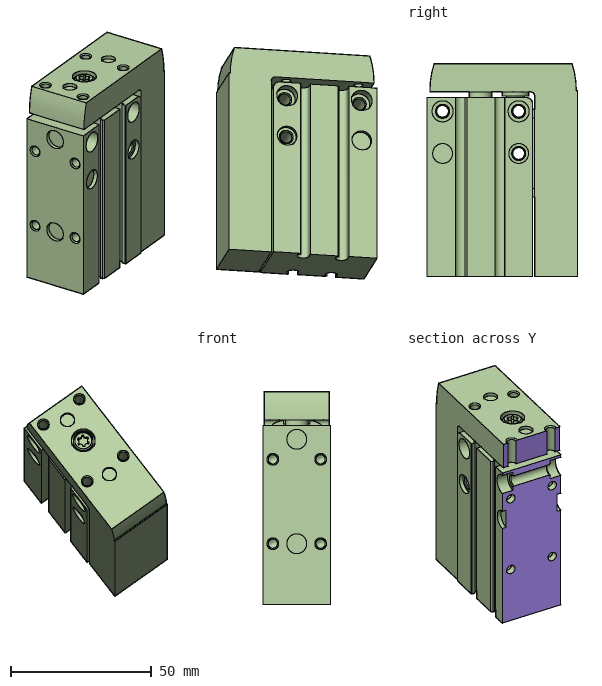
import cadquery as cq
import math

HEIGHT = 75.6
DEPTH = 53.5
HOUSING_WIDTH = 24.0
HOUSING_HEIGHT = 63.6
HOUSING_DEPTH = 37.6
SLIDE_WIDTH = 23.1
GAP = 0.7
SIDE = HOUSING_WIDTH / 2
PLATE_FRONT = HOUSING_DEPTH + GAP

HOUSING_CORNER_RADIUS = 2.35
RIB_INSET = 0.2
GROOVE_DIAMETER = 4.15
GROOVE_SPACING = 13.9
FRONT_GROOVE_Y = 12.3
GROOVE_AXIS_INSET = 2.9
LIP_OFFSET = 1.3
LIP_THICKNESS = 1.5
FRONT_LIP_CHAMFER = 0.8
REAR_LIP_CHAMFER = 0.2

SIDE_HOLE_FRONT_Y = 5.6
SIDE_HOLE_BACK_Y = 32.6
UPPER_HOLE_Z = 58.7
LOWER_HOLE_Z = 43.7
THROUGH_DIAMETER = 4.15
THROUGH_MOUTH_DIAMETER = 5.0
COUNTERBORE_DIAMETER = 7.5
COUNTERBORE_DEPTH = 4.3
SLEEVE_DIAMETER = 7.0
SLEEVE_DEPTH = 1.5

THREAD_DIAMETER = 3.25
THREAD_MOUTH_DIAMETER = 4.15
DRILL_TIP_ANGLE = 118.0
FRONT_THREAD_X = 8.5
FRONT_THREAD_UPPER_Z = 51.55
FRONT_LOWER_Z = 21.6
FRONT_THREAD_DEPTH = 8.0

PAD_WIDTH = 15.1
PAD_BOTTOM = 28.2
PAD_TOP = 59.4
PAD_END_LENGTH = 3.1
PAD_END_INSET = 0.75

ARM_BOTTOM = 65.55
ARM_LIP = 0.45
ARM_FRONT = 1.05
BACK_STEP = 0.45
BOW = 1.5
INNER_FILLET = 1.6
RELIEF_CORNER_DIAMETER = 16.0
RELIEF_CORNER_X = 4.1
RELIEF_TOP = 65.3

ROD_Y = 19.05
ROD_DIAMETER = 8.1
BUMPER_Y = 31.45
BUMPER_DIAMETER = 9.5
BUMPER_HEIGHT = 1.5
BUMPER_PIN_DIAMETER = 6.5

ARM_PIN_Y = (9.6, 34.6)
ARM_PIN_DIAMETER = 5.0
ARM_PIN_DEPTH = 1.2
ARM_THREAD_X = 7.95
ARM_THREAD_Y = (6.0, 32.1)

SCREW_SEAT_DIAMETER = 8.5
SCREW_SEAT_DEPTH = 2.3
SCREW_HEAD_DIAMETER = 7.0
SCREW_TOP_DIAMETER = 6.0
SCREW_TOP_BELOW_ARM = 0.6
SCREW_EDGE_HEIGHT = 0.45
SOCKET_DIAMETER = 4.15
SOCKET_VALLEY_DIAMETER = 2.95
SOCKET_FLUTE_DIAMETER = 1.7
SOCKET_LOBES = 6
SOCKET_DEPTH = 1.5

X_AXIS = cq.Vector(1, 0, 0)
Y_AXIS = cq.Vector(0, 1, 0)
DOWN = cq.Vector(0, 0, -1)


def cylinder(start, axis, diameter, length):
    return cq.Workplane(obj=cq.Solid.makeCylinder(diameter / 2, length, cq.Vector(*start), axis))


def mouth_chamfer(start, axis, mouth_diameter, diameter):
    """45 degree countersink from the mouth diameter down to the hole diameter."""
    depth = (mouth_diameter - diameter) / 2
    cone = cq.Solid.makeCone(mouth_diameter / 2, diameter / 2, depth, cq.Vector(*start), axis)
    return cq.Workplane(obj=cone)


def box(x_range, y_range, z_range):
    size = [high - low for low, high in (x_range, y_range, z_range)]
    return cq.Workplane().box(*size, centered=False).translate((x_range[0], y_range[0], z_range[0]))


def sensor_groove(center_y, lip_chamfer):
    """Round-bottomed groove along Z, open to -X, with a lip that overhangs its rear wall."""
    radius = GROOVE_DIAMETER / 2
    axis_x = -SIDE + GROOVE_AXIS_INSET
    lip_inner_x = -SIDE + LIP_THICKNESS
    lip_y = center_y + LIP_OFFSET
    outline = (
        cq.Workplane()
        .moveTo(-SIDE, center_y - radius)
        .lineTo(axis_x, center_y - radius)
        .threePointArc((axis_x + radius, center_y), (axis_x, center_y + radius))
        .lineTo(lip_inner_x, center_y + radius)
        .lineTo(lip_inner_x, lip_y)
        .lineTo(-SIDE + lip_chamfer, lip_y)
        .lineTo(-SIDE, lip_y + lip_chamfer)
        .close()
    )
    return outline.extrude(HOUSING_HEIGHT)


def side_cuts():
    """Both grooves and the set-back rib between them, on the -X side."""
    rear_groove_y = FRONT_GROOVE_Y + GROOVE_SPACING
    rib_recess = box(
        (-SIDE, -SIDE + RIB_INSET),
        (FRONT_GROOVE_Y, rear_groove_y),
        (0, HOUSING_HEIGHT),
    )
    front_groove = sensor_groove(FRONT_GROOVE_Y, FRONT_LIP_CHAMFER)
    rear_groove = sensor_groove(rear_groove_y, REAR_LIP_CHAMFER)
    return rib_recess.union(front_groove).union(rear_groove)


def stepped_side_hole(y, z, seat_diameter, seat_depth):
    """Through hole along X with a seat at each end and a chamfered bore between them."""
    hole = cylinder((-SIDE, y, z), X_AXIS, THROUGH_DIAMETER, HOUSING_WIDTH)
    for end, inward in ((-SIDE, X_AXIS), (SIDE, -X_AXIS)):
        floor = (end + inward.x * seat_depth, y, z)
        hole = hole.union(cylinder((end, y, z), inward, seat_diameter, seat_depth))
        hole = hole.union(mouth_chamfer(floor, inward, THROUGH_MOUTH_DIAMETER, THROUGH_DIAMETER))
    return hole


def front_thread(x, z):
    """Blind threaded hole in the front face with a countersunk mouth and a drill tip."""
    radius = THREAD_DIAMETER / 2
    tip_length = radius / math.tan(math.radians(DRILL_TIP_ANGLE / 2))
    tip = cq.Solid.makeCone(radius, 0, tip_length, cq.Vector(x, FRONT_THREAD_DEPTH, z), Y_AXIS)
    return (
        cylinder((x, 0, z), Y_AXIS, THREAD_DIAMETER, FRONT_THREAD_DEPTH)
        .union(mouth_chamfer((x, 0, z), Y_AXIS, THREAD_MOUTH_DIAMETER, THREAD_DIAMETER))
        .union(cq.Workplane(obj=tip))
    )


def guide_pad():
    """Guide pad on the housing back, bearing on the slide plate; its ends are a little narrower."""
    half_width = PAD_WIDTH / 2
    half_end_width = half_width - PAD_END_INSET
    thickness = (HOUSING_DEPTH, PLATE_FRONT)
    middle_height = (PAD_BOTTOM + PAD_END_LENGTH, PAD_TOP - PAD_END_LENGTH)
    middle = box((-half_width, half_width), thickness, middle_height)
    return middle.union(box((-half_end_width, half_end_width), thickness, (PAD_BOTTOM, PAD_TOP)))


def make_housing():
    body = box((-SIDE, SIDE), (0, HOUSING_DEPTH), (0, HOUSING_HEIGHT))
    body = body.faces(">Z").edges(">Y").fillet(HOUSING_CORNER_RADIUS)

    grooves = side_cuts()
    body = body.cut(grooves).cut(grooves.mirror("YZ"))

    for y in (SIDE_HOLE_FRONT_Y, SIDE_HOLE_BACK_Y):
        body = body.cut(stepped_side_hole(y, UPPER_HOLE_Z, COUNTERBORE_DIAMETER, COUNTERBORE_DEPTH))
    body = body.cut(stepped_side_hole(SIDE_HOLE_BACK_Y, LOWER_HOLE_Z, SLEEVE_DIAMETER, SLEEVE_DEPTH))
    for end, inward in ((-SIDE, X_AXIS), (SIDE, -X_AXIS)):
        seat_start = (end, SIDE_HOLE_FRONT_Y, LOWER_HOLE_Z)
        body = body.cut(cylinder(seat_start, inward, SLEEVE_DIAMETER, SLEEVE_DEPTH))

    for z in (UPPER_HOLE_Z, FRONT_LOWER_Z):
        body = body.cut(cylinder((0, 0, z), Y_AXIS, SLEEVE_DIAMETER, SLEEVE_DEPTH))
    for x in (-FRONT_THREAD_X, FRONT_THREAD_X):
        for z in (FRONT_THREAD_UPPER_Z, FRONT_LOWER_Z):
            body = body.cut(front_thread(x, z))

    return body.union(guide_pad())


def bow_point(end_y, inward, fraction):
    """Point on a bowed arm end, upright at its foot; fraction 0 is the foot, 1 the top."""
    foot_z = ARM_BOTTOM + ARM_LIP
    rise = HEIGHT - foot_z
    radius = (rise**2 + BOW**2) / (2 * BOW)
    height = fraction * rise
    lean = radius - math.sqrt(radius**2 - height**2)
    return (end_y + inward * lean, foot_z + height)


def slide_block():
    """L-shaped block: an upright plate with an arm reaching over the housing."""
    arm_back = DEPTH - BACK_STEP
    step_z = ARM_BOTTOM + ARM_LIP
    outline = (
        cq.Workplane("YZ")
        .moveTo(PLATE_FRONT, 0)
        .lineTo(DEPTH, 0)
        .lineTo(DEPTH, step_z)
        .lineTo(arm_back, step_z)
        .threePointArc(bow_point(arm_back, -1, 0.5), bow_point(arm_back, -1, 1))
        .lineTo(*bow_point(ARM_FRONT, 1, 1))
        .threePointArc(bow_point(ARM_FRONT, 1, 0.5), bow_point(ARM_FRONT, 1, 0))
        .lineTo(ARM_FRONT, ARM_BOTTOM)
        .lineTo(PLATE_FRONT - INNER_FILLET, ARM_BOTTOM)
        .radiusArc((PLATE_FRONT, ARM_BOTTOM - INNER_FILLET), INNER_FILLET)
        .close()
    )
    return outline.extrude(SLIDE_WIDTH / 2, both=True)


def fillet_relief():
    """Round-cornered clearance, flush with the plate, that interrupts the inner fillet."""
    start = PLATE_FRONT - INNER_FILLET
    corner_z = RELIEF_TOP - RELIEF_CORNER_DIAMETER / 2
    relief = box(
        (-RELIEF_CORNER_X, RELIEF_CORNER_X),
        (start, PLATE_FRONT),
        (corner_z, RELIEF_TOP),
    )
    for x in (-RELIEF_CORNER_X, RELIEF_CORNER_X):
        relief = relief.union(cylinder((x, start, corner_z), Y_AXIS, RELIEF_CORNER_DIAMETER, INNER_FILLET))
    return relief


def arm_thread(x, y):
    """Threaded hole right through the arm with a countersunk mouth."""
    start = (x, y, HEIGHT)
    hole = cylinder(start, DOWN, THREAD_DIAMETER, HEIGHT - ARM_BOTTOM)
    return hole.union(mouth_chamfer(start, DOWN, THREAD_MOUTH_DIAMETER, THREAD_DIAMETER))


def star_socket(top_z):
    """Six-lobed drive socket: a round bore with a flute standing between each two lobes."""
    socket = cylinder((0, ROD_Y, top_z), DOWN, SOCKET_DIAMETER, SOCKET_DEPTH)
    flute_radius = (SOCKET_VALLEY_DIAMETER + SOCKET_FLUTE_DIAMETER) / 2
    for lobe in range(SOCKET_LOBES):
        angle = 2 * math.pi * (lobe + 0.5) / SOCKET_LOBES
        x = flute_radius * math.cos(angle)
        y = ROD_Y + flute_radius * math.sin(angle)
        socket = socket.cut(cylinder((x, y, top_z), DOWN, SOCKET_FLUTE_DIAMETER, SOCKET_DEPTH))
    return socket


def screw_head():
    """Head of the screw that clamps the rod, sunk in its seat in the arm."""
    top_z = HEIGHT - SCREW_TOP_BELOW_ARM
    edge_z = top_z - SCREW_EDGE_HEIGHT
    seat_z = HEIGHT - SCREW_SEAT_DEPTH
    rim = cq.Solid.makeCone(
        SCREW_TOP_DIAMETER / 2,
        SCREW_HEAD_DIAMETER / 2,
        SCREW_EDGE_HEIGHT,
        cq.Vector(0, ROD_Y, top_z),
        DOWN,
    )
    side = cylinder((0, ROD_Y, edge_z), DOWN, SCREW_HEAD_DIAMETER, edge_z - seat_z)
    return side.union(cq.Workplane(obj=rim)).cut(star_socket(top_z))


def make_slide():
    body = slide_block().cut(fillet_relief())

    for y in ARM_PIN_Y:
        body = body.cut(cylinder((0, y, HEIGHT), DOWN, ARM_PIN_DIAMETER, ARM_PIN_DEPTH))
    for x in (-ARM_THREAD_X, ARM_THREAD_X):
        for y in ARM_THREAD_Y:
            body = body.cut(arm_thread(x, y))

    body = body.cut(cylinder((0, ROD_Y, HEIGHT), DOWN, SCREW_SEAT_DIAMETER, SCREW_SEAT_DEPTH))
    body = body.union(screw_head())

    clearance = ARM_BOTTOM - HOUSING_HEIGHT
    rod = cylinder((0, ROD_Y, ARM_BOTTOM), DOWN, ROD_DIAMETER, clearance)
    bumper = cylinder((0, BUMPER_Y, ARM_BOTTOM), DOWN, BUMPER_DIAMETER, BUMPER_HEIGHT)
    bumper_pin = cylinder((0, BUMPER_Y, ARM_BOTTOM), DOWN, BUMPER_PIN_DIAMETER, clearance)
    return body.union(rod).union(bumper).union(bumper_pin)


housing = make_housing()
slide = make_slide()
result = cq.Compound.makeCompound([housing.solids().val(), slide.solids().val()])